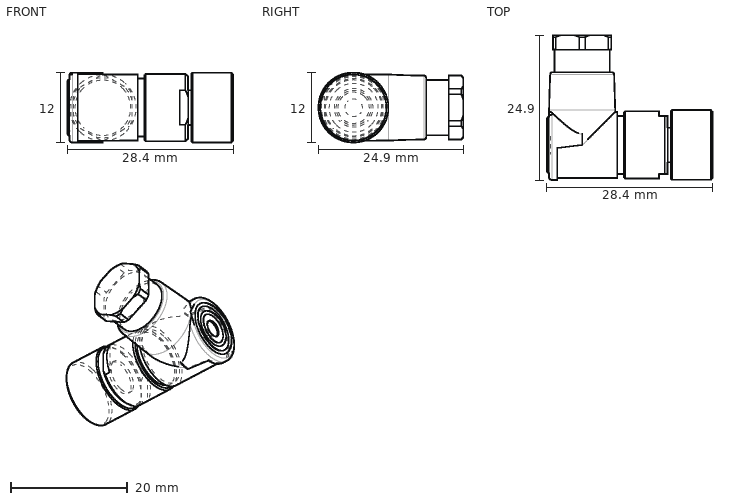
import cadquery as cq
import math

total_length = 28.4
cap_diameter = 12.0
body_diameter = 11.4
front_nut_diameter = 11.6
groove_diameter = 10.0
rear_neck_diameter = 6.0
body_end = 12.07
front_nut_start = 13.15
front_nut_end = 20.68
coupling_start = 21.21
front_nut_lead_chamfer = 0.28
front_nut_rear_chamfer = 0.45
coupling_lead_chamfer = 0.23
coupling_end_chamfer = 0.35

flat_width = 10.0
flat_start = 19.23

cap_face = 0.3
cap_collar_end = 1.8
cap_fillet = 0.5
tongue_drop = 0.5
ring_radius = cap_face
ring_center_diameters = (6.0, 9.0)
dimple_diameter = 3.0
dimple_depth = 0.28

branch_x = 6.02
total_width = 24.85
branch_top = total_width - cap_diameter / 2
taper_start = 6.02
sleeve_top = 12.5
sleeve_top_diameter = 11.0
sleeve_fillet = 0.43
branch_neck_diameter = 9.5
hex_nut_start = 16.33
hex_across_flats = 10.0
hex_corner_diameter = 11.0
hex_chamfer = 0.35


def x_cylinder(diameter, start, end):
    return cq.Workplane("YZ", origin=(start, 0, 0)).circle(diameter / 2).extrude(end - start)


def y_plane(y):
    """Plane normal to +Y, centered on the branch axis."""
    return cq.Workplane(cq.Plane(origin=(branch_x, y, 0), xDir=(1, 0, 0), normal=(0, 1, 0)))


def make_front_nut():
    nut = x_cylinder(front_nut_diameter, front_nut_start, front_nut_end)
    nut = nut.faces("<X").chamfer(front_nut_lead_chamfer)
    nut = nut.faces(">X").chamfer(front_nut_rear_chamfer)
    between_flats = cq.Workplane().box(
        front_nut_end - flat_start, flat_width, front_nut_diameter
    ).translate(((flat_start + front_nut_end) / 2, 0, 0))
    full_round = x_cylinder(front_nut_diameter, front_nut_start, flat_start)
    return nut.intersect(full_round.union(between_flats))


def make_coupling():
    coupling = x_cylinder(cap_diameter, coupling_start, total_length)
    coupling = coupling.faces("<X").chamfer(coupling_lead_chamfer)
    return coupling.faces(">X").chamfer(coupling_end_chamfer)


def make_cap():
    cap = x_cylinder(cap_diameter, cap_face, branch_x).faces("<X").edges().fillet(cap_fillet)
    radius = cap_diameter / 2
    outline = [
        (cap_face, -radius),
        (cap_collar_end, -radius),
        (cap_collar_end, -tongue_drop),
        (branch_x, 0),
        (branch_x, radius),
        (cap_face, radius),
    ]
    tongue = cq.Workplane("XY").polyline(outline).close().extrude(radius, both=True)
    return cap.intersect(tongue).union(make_cap_corner())


def make_cap_corner():
    """Flat pointed corner of the cap face, tangent to the start of its rim fillet."""
    apex = cap_diameter / 2
    flat_radius = apex - cap_fillet
    tangent_angle = math.acos(flat_radius / apex)
    tangent_y = flat_radius * math.cos(tangent_angle)
    tangent_z = flat_radius * math.sin(tangent_angle)
    corner = cq.Workplane("YZ", origin=(cap_face, 0, 0))
    corner = corner.polyline([(apex, 0), (tangent_y, tangent_z), (tangent_y, -tangent_z)]).close()
    return corner.extrude(cap_fillet)


def make_ring(center_diameter):
    """Half-round raised ring on the cap face."""
    return cq.Workplane().add(
        cq.Solid.makeTorus(center_diameter / 2, ring_radius, cq.Vector(cap_face, 0, 0), cq.Vector(1, 0, 0))
    )


def make_elbow_sleeve():
    """Round branch mitred into the barrel, with a tapered upper part."""
    base = y_plane(0).circle(body_diameter / 2).extrude(taper_start)
    taper_angle = math.degrees(
        math.atan((body_diameter - sleeve_top_diameter) / 2 / (sleeve_top - taper_start))
    )
    taper = y_plane(taper_start).circle(body_diameter / 2)
    taper = taper.extrude(sleeve_top - taper_start, taper=taper_angle)
    return base.union(taper.faces(">Y").edges().fillet(sleeve_fillet))


def make_hex_nut():
    height = branch_top - hex_nut_start
    corner_limit = y_plane(hex_nut_start).circle(hex_corner_diameter / 2).extrude(height)
    corner_limit = corner_limit.faces(">Y").chamfer(hex_chamfer)
    corner_to_corner = hex_across_flats / math.cos(math.radians(30))
    hexagon = y_plane(hex_nut_start).transformed(rotate=(0, 0, 90))
    hexagon = hexagon.polygon(6, corner_to_corner).extrude(height)
    return hexagon.intersect(corner_limit)


barrel = x_cylinder(body_diameter, cap_collar_end, body_end)
barrel = barrel.union(x_cylinder(groove_diameter, body_end, front_nut_start))
barrel = barrel.union(make_front_nut())
barrel = barrel.union(x_cylinder(rear_neck_diameter, front_nut_end, coupling_start))
barrel = barrel.union(make_coupling())
barrel = barrel.union(make_cap())

branch = make_elbow_sleeve()
branch_neck = y_plane(sleeve_top).circle(branch_neck_diameter / 2).extrude(hex_nut_start - sleeve_top)
branch = branch.union(branch_neck)
branch = branch.union(make_hex_nut())

result = barrel.union(branch)
for center_diameter in ring_center_diameters:
    result = result.union(make_ring(center_diameter))
result = result.cut(x_cylinder(dimple_diameter, cap_face, cap_face + dimple_depth))